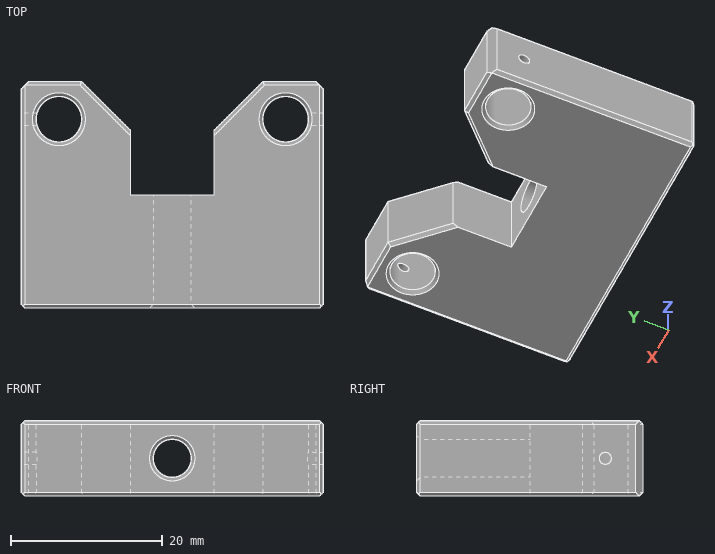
import cadquery as cq

width = 40.0
depth = 30.0
height = 10.0
half_width = width / 2
mid_height = height / 2

rim_bevel = 0.5
front_corner_bevel = 0.5
back_corner_bevel = 1.0

mouth_half_width = 12.0
slot_width = 11.0
slot_depth = 15.0

post_hole_diameter = 6.0
post_hole_inset = 5.0
front_hole_diameter = 5.0
side_hole_diameter = 1.6
hole_bevel = 0.5

post_x = half_width - post_hole_inset
post_y = depth - post_hole_inset
slot_floor_y = depth - slot_depth


def cone(diameter, center, direction):
    """Countersink cutter: a 45 degree cone starting at a hole mouth and narrowing inward."""
    radius = diameter / 2
    return cq.Workplane(cq.Solid.makeCone(
        radius + hole_bevel, radius, hole_bevel, cq.Vector(*center), cq.Vector(*direction)))


def cylinder(diameter, length, center, direction):
    return cq.Workplane(cq.Solid.makeCylinder(
        diameter / 2, length, cq.Vector(*center), cq.Vector(*direction)))


def make_block():
    """Block with the V-shaped mouth, bevelled around both large faces, then slotted."""
    outline = [
        (-half_width, 0),
        (half_width, 0),
        (half_width, depth),
        (mouth_half_width, depth),
        (0, depth - mouth_half_width),
        (-mouth_half_width, depth),
        (-half_width, depth),
    ]
    block = cq.Workplane("XY").polyline(outline).close().extrude(height)
    block = block.faces("<Z or >Z").edges().chamfer(rim_bevel)
    slot = cq.Workplane("XY").box(slot_width, slot_depth, height, centered=(True, False, False))
    return block.cut(slot.translate((0, slot_floor_y, 0)))


def corner_wedge(side, y, inward, size):
    """Full-height triangular cutter for one upright corner."""
    x = side * half_width
    points = [(x, y), (x - side * size, y), (x, y + inward * size)]
    return cq.Workplane("XY").polyline(points).close().extrude(height)


def cut_side_features(part, side):
    """Corner bevels, post hole and side hole on one side (-1 left, +1 right)."""
    part = part.cut(corner_wedge(side, 0, 1, front_corner_bevel))
    part = part.cut(corner_wedge(side, depth, -1, back_corner_bevel))

    x = side * post_x
    part = part.cut(cylinder(post_hole_diameter, height, (x, post_y, 0), (0, 0, 1)))
    part = part.cut(cone(post_hole_diameter, (x, post_y, height), (0, 0, -1)))
    part = part.cut(cone(post_hole_diameter, (x, post_y, 0), (0, 0, 1)))

    side_mouth = (side * half_width, post_y, mid_height)
    return part.cut(cylinder(side_hole_diameter, post_hole_inset, side_mouth, (-side, 0, 0)))


def cut_front_hole(part):
    """Hole from the front face through to the slot floor, countersunk at the front."""
    mouth = (0, 0, mid_height)
    part = part.cut(cylinder(front_hole_diameter, slot_floor_y, mouth, (0, 1, 0)))
    return part.cut(cone(front_hole_diameter, mouth, (0, 1, 0)))


result = make_block()
for side in (-1, 1):
    result = cut_side_features(result, side)
result = cut_front_hole(result)